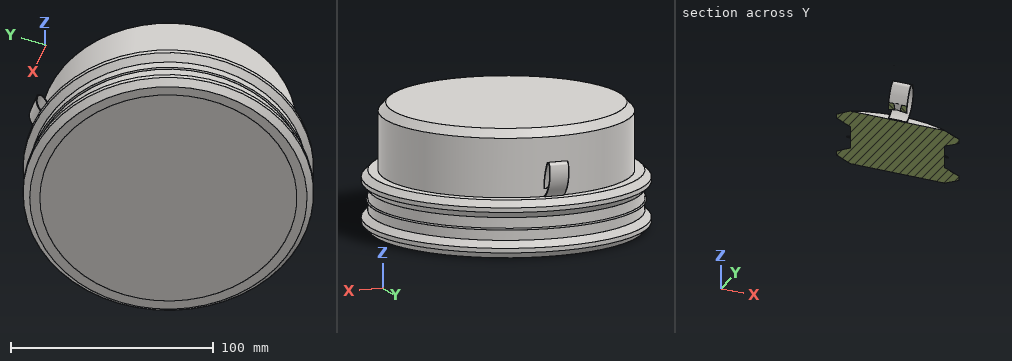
import cadquery as cq

flange_diameter = 143.4
neck_diameter = 136.8
ring_height = 29.35
flange_rim_height = 2.3
flange_slope = (flange_diameter - neck_diameter) / 2
flange_height = flange_rim_height + 2 * flange_slope

cap_diameter = 126.8
cap_height = 63.57
cap_chamfer_width = 3.8
cap_chamfer_height = 4.2

seal_section_diameter = 0.9

tab_width = 10.0
tab_thickness = 0.6
tab_foot = (0.0, 0.0)
tab_outer_middle = (6.2, 7.0)
tab_bend_start = (7.0, 16.7)
tab_bend_end = (3.7, 17.1)
tab_inner_middle = (0.75, 10.9)
tab_wall_end = (-0.4, 4.2)


def make_grooved_ring():
    """Ring with two identical bevelled flanges separated by a plain neck."""
    flange_radius = flange_diameter / 2
    neck_radius = neck_diameter / 2
    bore_radius = cap_diameter / 2
    profile = cq.Workplane("XZ").moveTo(bore_radius, 0)
    for flange_base in (0, ring_height - flange_height):
        profile = (
            profile.lineTo(neck_radius, flange_base)
            .lineTo(flange_radius, flange_base + flange_slope)
            .lineTo(flange_radius, flange_base + flange_slope + flange_rim_height)
            .lineTo(neck_radius, flange_base + flange_height)
        )
    return profile.lineTo(bore_radius, ring_height).close().revolve(360, (0, 0, 0), (0, 1, 0))


def make_cap():
    """Solid round cap that fills the ring's bore and has a bevelled top edge."""
    return (
        cq.Workplane("XY")
        .circle(cap_diameter / 2)
        .extrude(cap_height)
        .faces(">Z")
        .chamfer(cap_chamfer_height, cap_chamfer_width)
    )


def make_seal():
    """Round-section ring that touches the neck at mid height."""
    section_radius = seal_section_diameter / 2
    section_centre_radius = neck_diameter / 2 + section_radius
    return (
        cq.Workplane("XZ")
        .moveTo(section_centre_radius, ring_height / 2)
        .circle(section_radius)
        .revolve(360, (0, 0, 0), (0, 1, 0))
    )


def make_tab(cap, grooved_ring):
    """Bent strip on the +Y side, trimmed where it meets the cap wall and the ring top."""
    centre_line = (
        cq.Workplane("YZ", origin=(-tab_width / 2, cap_diameter / 2, ring_height))
        .moveTo(*tab_foot)
        .threePointArc(tab_outer_middle, tab_bend_start)
        .tangentArcPoint(tab_bend_end, relative=False)
        .threePointArc(tab_inner_middle, tab_wall_end)
    )
    strip = centre_line.wire().offset2D(tab_thickness / 2).extrude(tab_width)
    return strip.cut(cap).cut(grooved_ring)


grooved_ring = make_grooved_ring()
cap = make_cap()
seal = make_seal()
tab = make_tab(cap, grooved_ring)
result = cq.Compound.makeCompound([grooved_ring.val(), cap.val(), seal.val(), tab.val()])